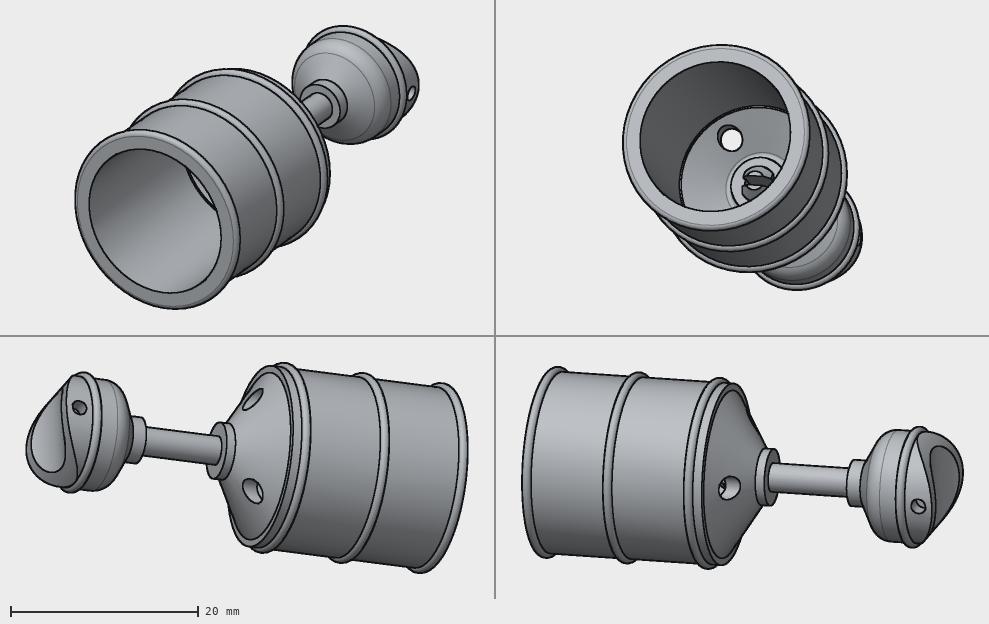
import cadquery as cq
import math


stem_radius = 1.55
bead_radius = 0.5

cup_wall = 1.5
cup_radius = 9.75
cup_bore_radius = cup_radius - cup_wall
cup_length = 20.0
bead_pitch = 9.0
bead_centres = [bead_radius + i * bead_pitch for i in range(3)]

roof_base_radius = 9.0
roof_height = 4.0
collar_radius = 3.05
collar_height = 1.0
roof_top = cup_length + roof_height
collar_top = roof_top + collar_height
roof_slope = roof_height / (roof_base_radius - collar_radius)

ceiling_height = 19.0
ceiling_radius = 8.05
boss_radius = collar_radius
boss_root = ceiling_height + roof_slope * (ceiling_radius - boss_radius)
boss_face = 21.0
boss_fillet = 0.5

vent_radius = 1.25
vent_circle_radius = 6.0
vent_count = 3

pin_turn = 6.0
flange_radius = 2.5
flange_start = 34.0
flange_end = 35.5
head_radius = 6.0
head_end = 44.51
head_cone_angle = 30.0
head_fillet = 2.0
head_cone_height = (head_radius - flange_radius) * math.tan(math.radians(head_cone_angle))
head_cone_end = flange_end + head_cone_height
head_bead_centre = 41.0
crown_radius = 7.5
saddle_radius = 7.5
saddle_depth = 1.5
socket_radius = 0.8
socket_depth = 2.0

barb_radius = 1.97
barb_tip_radius = 1.03
barb_land = 0.5
barb_taper = 1.5
barb_tip = boss_face - barb_land - barb_taper
slot_width = 1.0
slot_length = 5.0


def turned(profile):
    """Revolve an outline in the XY plane about the Y axis."""
    return profile.close().revolve(360, (0, 0, 0), (0, 1, 0))


def beaded(profile, radius, centre):
    """Carry an outline along a wall of the given radius, up over one half-round bead."""
    return (
        profile.lineTo(radius, centre - bead_radius)
        .threePointArc((radius + bead_radius, centre), (radius, centre + bead_radius))
    )


def cylinder_along_y(radius, start, end, x=0.0, z=0.0):
    base = cq.Vector(x, start, z)
    direction = cq.Vector(0, 1, 0)
    return cq.Workplane(cq.Solid.makeCylinder(radius, end - start, base, direction))


def cup_shell():
    outline = cq.Workplane("XY").moveTo(cup_bore_radius, 0)
    for centre in bead_centres:
        outline = beaded(outline, cup_radius, centre)
    outline = (
        outline.lineTo(cup_radius, cup_length)
        .lineTo(roof_base_radius, cup_length)
        .lineTo(collar_radius, roof_top)
        .lineTo(collar_radius, collar_top)
        .lineTo(stem_radius, collar_top)
        .lineTo(stem_radius, boss_face)
        .lineTo(boss_radius, boss_face)
    )
    slope_angle = math.atan(roof_slope)
    half_corner = (math.pi / 2 - slope_angle) / 2
    tangent = boss_fillet / math.tan(half_corner)
    arc_centre = (boss_radius + boss_fillet, boss_root - tangent)
    arc_middle = (
        arc_centre[0] - boss_fillet * math.cos(half_corner),
        arc_centre[1] + boss_fillet * math.sin(half_corner),
    )
    arc_end = (
        boss_radius + tangent * math.cos(slope_angle),
        boss_root - tangent * math.sin(slope_angle),
    )
    outline = (
        outline.lineTo(boss_radius, boss_root - tangent)
        .threePointArc(arc_middle, arc_end)
        .lineTo(ceiling_radius, ceiling_height)
        .lineTo(cup_bore_radius, ceiling_height)
    )
    return turned(outline)


def make_cup():
    cup = cup_shell()
    for i in range(vent_count):
        angle = 2 * math.pi * i / vent_count
        x = vent_circle_radius * math.cos(angle)
        z = vent_circle_radius * math.sin(angle)
        cup = cup.cut(cylinder_along_y(vent_radius, 0, roof_top, x, z))
    return cup


def pin_head():
    """Head with a rounded crown, a saddle groove across it and a bead around it."""
    cone_angle = math.radians(head_cone_angle)
    turn = math.pi / 2 - cone_angle
    tangent = head_fillet * math.tan(turn / 2)
    arc_start = (
        head_radius - tangent * math.cos(cone_angle),
        head_cone_end - tangent * math.sin(cone_angle),
    )
    arc_end = (head_radius, head_cone_end + tangent)
    arc_middle = (
        head_radius - head_fillet + head_fillet * math.cos(turn / 2),
        arc_end[1] - head_fillet * math.sin(turn / 2),
    )
    head = turned(
        cq.Workplane("XY")
        .moveTo(0, flange_end)
        .lineTo(flange_radius, flange_end)
        .lineTo(*arc_start)
        .threePointArc(arc_middle, arc_end)
        .lineTo(head_radius, head_end)
        .lineTo(0, head_end)
    )

    crown_axis = head_end - crown_radius
    crown = (
        cq.Workplane("YZ")
        .moveTo(flange_end, -crown_radius)
        .lineTo(crown_axis, -crown_radius)
        .threePointArc((head_end, 0), (crown_axis, crown_radius))
        .lineTo(flange_end, crown_radius)
        .close()
        .extrude(head_radius, both=True)
    )
    saddle_axis = head_end - saddle_depth + saddle_radius
    saddle = cq.Workplane("XY").center(0, saddle_axis).circle(saddle_radius).extrude(head_radius, both=True)
    head = head.intersect(crown).cut(saddle)

    socket_height = head_end - saddle_depth
    for side in (-1, 1):
        socket = (
            cq.Workplane("YZ", origin=(side * (head_radius - socket_depth), 0, 0))
            .center(socket_height, 0)
            .circle(socket_radius)
            .extrude(side * 2 * socket_depth)
        )
        head = head.cut(socket)

    bead = beaded(
        cq.Workplane("XY").moveTo(0, head_bead_centre - bead_radius), head_radius, head_bead_centre
    ).lineTo(0, head_bead_centre + bead_radius)
    return head.union(turned(bead))


def snap_barb():
    """Tapered barb below the boss, flattened on two sides to the width of the stem."""
    barb = turned(
        cq.Workplane("XY")
        .moveTo(0, barb_tip)
        .lineTo(barb_tip_radius, barb_tip)
        .lineTo(barb_radius, boss_face - barb_land)
        .lineTo(barb_radius, boss_face)
        .lineTo(0, boss_face)
    )
    flats = (
        cq.Workplane("XY")
        .center(0, (barb_tip + boss_face) / 2)
        .rect(2 * stem_radius, boss_face - barb_tip)
        .extrude(barb_radius, both=True)
    )
    return barb.intersect(flats)


def barb_slot():
    """Round-ended slot along X that splits the barb into two springy prongs."""
    slot_end = barb_tip + slot_length
    half_width = slot_width / 2
    return (
        cq.Workplane("YZ")
        .moveTo(barb_tip, -half_width)
        .lineTo(slot_end, -half_width)
        .threePointArc((slot_end + half_width, 0), (slot_end, half_width))
        .lineTo(barb_tip, half_width)
        .close()
        .extrude(barb_radius, both=True)
    )


def make_pin():
    pin = (
        pin_head()
        .union(cylinder_along_y(flange_radius, flange_start, flange_end))
        .union(cylinder_along_y(stem_radius, boss_face, flange_start))
        .union(snap_barb())
        .cut(barb_slot())
    )
    return pin.rotate((0, 0, 0), (0, 1, 0), pin_turn)


cup = make_cup()
pin = make_pin()

result = cq.Compound.makeCompound([cup.solids().val(), pin.solids().val()])